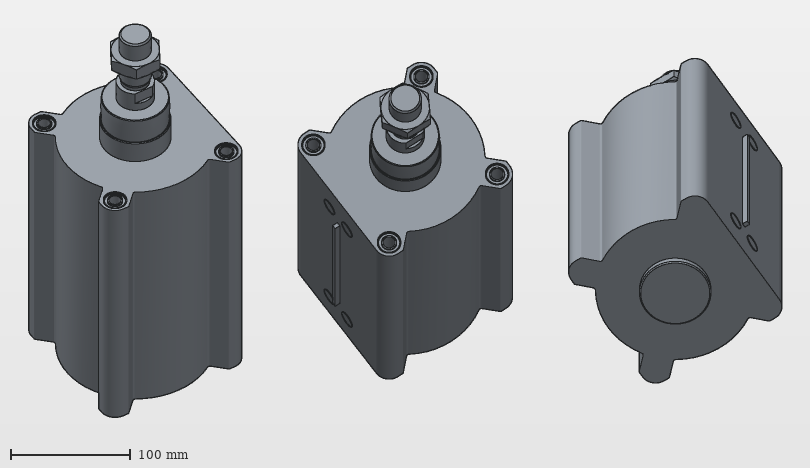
import cadquery as cq
import math

body_bottom = 6.5
body_top = 246.0
collar_top = 267.0
cap_top = 292.0
flats_bottom = 300.0
rod_shoulder = 311.0
thread_bottom = 317.2
nut_bottom = 334.0
nut_top = 346.8
rod_top = 365.0

body_width = 136.0
barrel_diameter = 133.5
bolt_spacing = 110.2
lug_edge_radius = 1.5
lug_root_radius = 2.2

mouth_diameter = 19.7
mouth_depth = 0.7
groove_diameter = 18.0
groove_depth = 2.0
rim_diameter = 12.8
rim_depth = 0.5
hole_diameter = 10.2
hole_depth = 22.0
pilot_diameter = 8.0
pilot_depth = 29.2

collar_diameter = 60.0
cap_end_diameter = 57.0
cap_middle_diameter = 58.0
collar_chamfer = 0.7
cap_chamfer = 0.7
spigot_chamfer = 1.0

rail_width = 3.5
rail_height = 4.7
rail_length = 151.0
pad_diameter = 15.0
pad_height = 0.7
pad_spacing_x = 25.5
pad_spacing_z = 175.0

rod_diameter = 32.0
thread_diameter = 27.0
rod_flats_width = thread_diameter
neck_diameter = 24.5
neck_cone_height = 3.0
tip_chamfer = 1.5
nut_width = 40.5
nut_chamfer_angle = 20

half_width = body_width / 2
bolt_offset = bolt_spacing / 2
lug_radius = half_width - bolt_offset
lug_side_end = bolt_offset - lug_radius * (math.sqrt(2) - 1)
body_height = body_top - body_bottom
body_middle = (body_bottom + body_top) / 2


def cylinder(diameter, bottom, top):
    return cq.Workplane("XY", origin=(0, 0, bottom)).circle(diameter / 2).extrude(top - bottom)


def revolve_profile(profile):
    """Turn a closed profile of (radius, height) points about the Z axis."""
    return cq.Workplane("XZ").polyline(profile).close().revolve(360, (0, 0), (0, 1))


def bolt_points():
    return [(x, y) for x in (-bolt_offset, bolt_offset) for y in (-bolt_offset, bolt_offset)]


def fillet_uprights(body, points, radius):
    """Round the upright edges that pass through the given plan points."""
    for x, y in points:
        edge = cq.selectors.NearestToPointSelector((x, y, body_middle))
        body = body.edges("|Z").edges(edge).fillet(radius)
    return body


def make_lug(angle):
    """Diagonal arm from the axis to one corner, with sides at 45 degrees."""
    return (
        cq.Workplane("XY", origin=(0, 0, body_bottom))
        .polyline([
            (half_width, half_width),
            (lug_side_end, half_width),
            (lug_side_end - half_width, 0),
            (0, lug_side_end - half_width),
            (half_width, lug_side_end),
        ])
        .close()
        .extrude(body_height)
        .rotate((0, 0, 0), (0, 0, 1), angle)
    )


def make_body():
    """Round barrel with four corner lugs and a flat rear side."""
    body = cylinder(barrel_diameter, body_bottom, body_top)
    for angle in (0, 90, 180, 270):
        body = body.union(make_lug(angle))
    rear_fill = (
        cq.Workplane("XY", origin=(0, 0, body_bottom))
        .rect(bolt_spacing, half_width - bolt_offset)
        .extrude(body_height)
        .translate((0, (half_width + bolt_offset) / 2, 0))
    )
    body = body.union(rear_fill).clean()

    corners = [(math.copysign(half_width, x), math.copysign(half_width, y)) for x, y in bolt_points()]
    body = fillet_uprights(body, corners, lug_radius)

    along = math.sqrt((barrel_diameter / 2) ** 2 - lug_radius**2)
    root_far = (along + lug_radius) / math.sqrt(2)
    root_near = (along - lug_radius) / math.sqrt(2)
    edges = []
    roots = []
    for side in (-1, 1):
        edges += [(side * half_width, lug_side_end), (side * half_width, -lug_side_end)]
        edges += [(side * lug_side_end, -half_width)]
        roots += [(side * root_far, root_near), (side * root_far, -root_near)]
        roots += [(side * root_near, -root_far)]
    body = fillet_uprights(body, edges, lug_edge_radius)
    return fillet_uprights(body, roots, lug_root_radius)


def make_bolt_hole():
    """Empty space of one bolt hole: a shallow ring groove around a raised rim and a stepped blind hole."""
    mouth = cylinder(mouth_diameter, body_top - mouth_depth, body_top)
    groove = cylinder(groove_diameter, body_top - groove_depth, body_top)
    rim = cylinder(rim_diameter, body_top - groove_depth, body_top - rim_depth)
    hole = cylinder(hole_diameter, body_top - hole_depth, body_top)
    pilot = cylinder(pilot_diameter, body_top - pilot_depth, body_top)
    return mouth.union(groove).cut(rim).union(hole).union(pilot)


def make_cap():
    """Cap with a slightly bulging side and a chamfered top edge."""
    end_radius = cap_end_diameter / 2
    chamfer_bottom = cap_top - cap_chamfer
    return (
        cq.Workplane("XZ")
        .moveTo(0, collar_top)
        .lineTo(end_radius, collar_top)
        .threePointArc(
            (cap_middle_diameter / 2, (collar_top + chamfer_bottom) / 2),
            (end_radius, chamfer_bottom),
        )
        .lineTo(end_radius - cap_chamfer, cap_top)
        .lineTo(0, cap_top)
        .close()
        .revolve(360, (0, 0), (0, 1))
    )


def make_rear_details():
    """Central rail and four round pads on the flat rear side."""
    rear = cq.Workplane("XZ", origin=(0, half_width, body_middle))
    rail = rear.rect(rail_width, rail_length).extrude(-rail_height)
    pads = rear.rect(pad_spacing_x, pad_spacing_z, forConstruction=True).vertices()
    pads = pads.circle(pad_diameter / 2).extrude(-pad_height)
    return rail.union(pads)


def make_housing():
    housing = make_body()
    for x, y in bolt_points():
        housing = housing.cut(make_bolt_hole().translate((x, y, 0)))
    spigot = cylinder(collar_diameter, 0, body_bottom).faces("<Z").chamfer(spigot_chamfer)
    collar = cylinder(collar_diameter, body_top, collar_top).faces(">Z").chamfer(collar_chamfer)
    return housing.union(spigot).union(collar).union(make_cap()).union(make_rear_details())


def make_rod():
    """Rod with two wrench flats, a thread relief neck and a plain threaded end."""
    rod = cylinder(rod_diameter, cap_top, rod_shoulder)
    flats = (
        cq.Workplane("XY", origin=(0, 0, flats_bottom))
        .rect(rod_flats_width, rod_diameter)
        .extrude(rod_shoulder - flats_bottom)
    )
    rod = rod.intersect(cylinder(rod_diameter, cap_top, flats_bottom).union(flats))
    neck_radius = neck_diameter / 2
    thread_radius = thread_diameter / 2
    thread_end = revolve_profile([
        (0, rod_shoulder),
        (neck_radius, rod_shoulder),
        (neck_radius, thread_bottom - neck_cone_height),
        (thread_radius, thread_bottom),
        (thread_radius, rod_top - tip_chamfer),
        (thread_radius - tip_chamfer, rod_top),
        (0, rod_top),
    ])
    return rod.union(thread_end)


def make_nut():
    """Hexagon nut with its corners chamfered on both faces."""
    flat_radius = nut_width / 2
    corner_radius = flat_radius / math.cos(math.pi / 6)
    drop = (corner_radius - flat_radius) * math.tan(math.radians(nut_chamfer_angle))
    nut = (
        cq.Workplane("XY", origin=(0, 0, nut_bottom))
        .polygon(6, 2 * corner_radius)
        .extrude(nut_top - nut_bottom)
        .rotate((0, 0, 0), (0, 0, 1), 30)
    )
    envelope = revolve_profile([
        (0, nut_bottom),
        (flat_radius, nut_bottom),
        (corner_radius, nut_bottom + drop),
        (corner_radius, nut_top - drop),
        (flat_radius, nut_top),
        (0, nut_top),
    ])
    return nut.intersect(envelope).cut(cylinder(thread_diameter, nut_bottom, nut_top))


housing = make_housing()
rod = make_rod()
nut = make_nut()
result = cq.Compound.makeCompound([housing.val(), rod.val(), nut.val()])